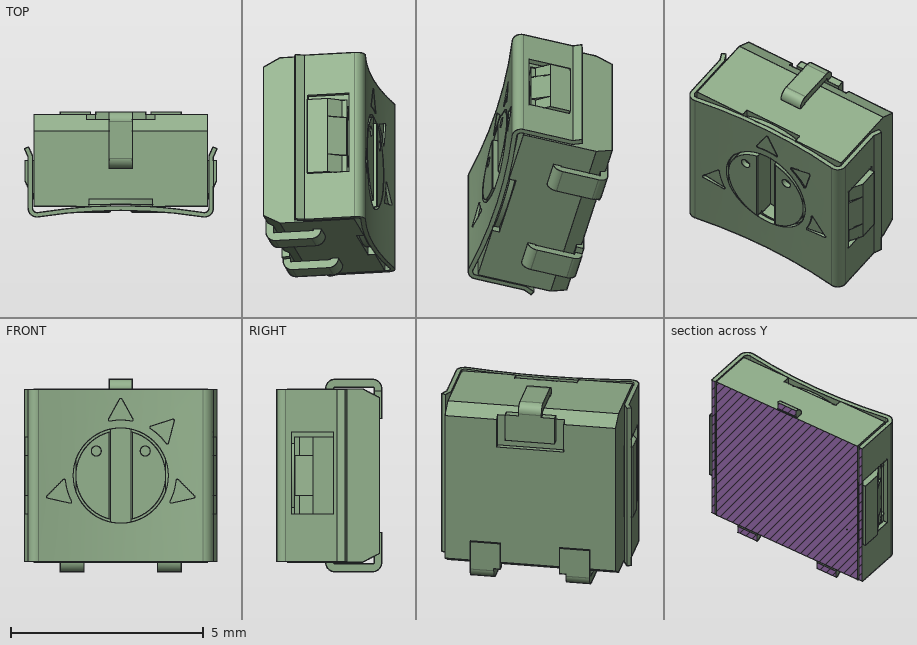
import cadquery as cq
import math


overall = 5.0

body_half = 2.25
body_back = 1.305
body_front = -1.085
chamfer_height = 0.23
chamfer_depth = 0.435

cover_half_height = 2.235
sheet = 0.12
cover_half_width = 2.405
cover_center_y = -1.19
cover_front_radius = 13.55
corner_radius = 0.235
lip_y = 0.2
wing_angle = 24.0
wing_reach = overall / 2

window_back = 0.11
window_front = -0.975
window_top = 1.135
catch_half_height = 0.995
catch_mid_half = 0.515
catch_face = 2.485
catch_ramp_start = -0.425
catch_end_ramp_stop = -0.765
catch_mid_ramp_stop = -0.89
catch_foot_x = 2.275
catch_foot_stop = -0.895

rotor_radius = 1.165
rotor_front = -1.24
opening_radius = 1.235
flange_radius = 2.19
flange_back = -0.895
flange_front = -1.03
notch_half = 0.825
slot_width = 0.52
slot_depth = 0.6
slot_chamfer_width = 0.04
slot_chamfer_depth = 0.025
pin_offset = 0.635
pin_radius = 0.13
pin_depth = 0.15

arrow_apex = 2.04
arrow_base_radius = 1.44
arrow_half_angle = 14.3
arrow_corner = 0.035
arrow_angles = (90.0, 46.5, -16.3, 196.3)
arrow_prism_depth = 0.5
arrow_floor_y = -1.18
arrow_floor_radius = 35.0

lead_back = 1.365
lead_front = -0.095
lead_thick = 0.215
leg_thick = 0.2
lead_bend = 0.25
lead_bend_inner = 0.02
top_lead_width = 0.605
bottom_lead_inner = 0.95
pad_outer = 1.575
bottom_pad_inner = 0.78
pad_low = 1.475
pad_high = 2.195
top_pad_half = 0.65
pad_recess_margin = 0.235

lead_top = overall / 2
pad_front = lead_back - leg_thick


def box(x0, x1, y0, y1, z0, z1):
    """Box between two corners."""
    return cq.Workplane("XY").box(x1 - x0, y1 - y0, z1 - z0, centered=False).translate((x0, y0, z0))


def y_cylinder(radius, front, back, x=0.0, z=0.0):
    """Cylinder along Y between two depths."""
    return cq.Workplane("XZ", origin=(x, back, z)).circle(radius).extrude(back - front)


def both_sides(solid):
    """The solid together with its mirror image in X."""
    return solid.union(solid.mirror("YZ"))


def concave_block(half_width, center_y, radius, back, half_height):
    """Upright block whose front face is a shallow arc, deepest at x = 0."""
    edge_y = center_y - (radius - math.sqrt(radius**2 - half_width**2))
    return (
        cq.Workplane("XY", origin=(0, 0, -half_height))
        .moveTo(-half_width, back)
        .lineTo(-half_width, edge_y)
        .threePointArc((0, center_y), (half_width, edge_y))
        .lineTo(half_width, back)
        .close()
        .extrude(2 * half_height)
    )


def make_body():
    """Block with sloped back edges, side notches, a round seat in front and a pad recess."""
    body = box(-body_half, body_half, body_front, body_back, -body_half, body_half)
    body = body.faces(">Y").edges("|X").chamfer(chamfer_height, chamfer_depth)

    notch_floor = math.sqrt(flange_radius**2 - notch_half**2)
    notch = box(-notch_half, notch_half, body_front, flange_back, notch_floor, body_half)
    for turn in range(4):
        body = body.cut(notch.rotate((0, 0, 0), (0, 1, 0), 90 * turn))

    body = body.cut(y_cylinder(flange_radius, body_front, flange_back))

    recess_half = top_pad_half + pad_recess_margin
    return body.cut(
        box(-recess_half, recess_half, pad_front, body_back, pad_low - pad_recess_margin, body_half)
    )


def catch_section(ramp_stop_y, half_height):
    """Left-hand catch: a flat face, a ramp down to the foot, and the foot below it."""
    root = body_half - sheet
    return (
        cq.Workplane("XY", origin=(0, 0, -half_height))
        .polyline([
            (-root, window_back),
            (-catch_face, window_back),
            (-catch_face, catch_ramp_start),
            (-catch_foot_x, ramp_stop_y),
            (-catch_foot_x, catch_foot_stop),
            (-root, catch_foot_stop),
        ])
        .close()
        .extrude(2 * half_height)
    )


def make_catches():
    """Catches on both sides; the ramp is longer over the middle of each."""
    ends = catch_section(catch_end_ramp_stop, catch_half_height)
    middle = catch_section(catch_mid_ramp_stop, catch_mid_half)
    return both_sides(ends.union(middle))


def make_wing():
    """Left-hand lip of the cover, bent away from the body."""
    angle = math.radians(wing_angle)
    inner_x = cover_half_width - sheet
    length = (wing_reach - cover_half_width) / math.sin(angle)
    tip_x = wing_reach
    tip_y = lip_y + length * math.cos(angle)
    return (
        cq.Workplane("XY", origin=(0, 0, -cover_half_height))
        .polyline([
            (-inner_x, lip_y),
            (-cover_half_width, lip_y),
            (-tip_x, tip_y),
            (-tip_x + sheet * math.cos(angle), tip_y + sheet * math.sin(angle)),
            (-inner_x, lip_y + sheet * math.tan(angle / 2)),
        ])
        .close()
        .extrude(2 * cover_half_height)
    )


def make_arrow(angle):
    """Prism of one arrow mark, pointing away from the rotor axis."""
    half = math.radians(arrow_half_angle)
    corner_x = arrow_base_radius * math.cos(half)
    corner_z = arrow_base_radius * math.sin(half)
    return (
        cq.Workplane("XZ", origin=(0, cover_center_y + sheet, 0))
        .moveTo(arrow_apex, 0)
        .lineTo(corner_x, corner_z)
        .threePointArc((arrow_base_radius, 0), (corner_x, -corner_z))
        .close()
        .extrude(arrow_prism_depth)
        .edges("|Y")
        .fillet(arrow_corner)
        .rotate((0, 0, 0), (0, 1, 0), -angle)
    )


def make_cover():
    """Bent sheet with lips, catch windows, rotor opening and arrow marks."""
    inner_half_width = cover_half_width - sheet
    inner_center_y = cover_center_y + sheet
    outer = concave_block(cover_half_width, cover_center_y, cover_front_radius, lip_y, cover_half_height)
    inner = concave_block(inner_half_width, inner_center_y, cover_front_radius, lip_y, cover_half_height)
    outer = outer.edges("|Z and <Y").fillet(corner_radius)
    inner = inner.edges("|Z and <Y").fillet(corner_radius - sheet)
    cover = outer.cut(inner).union(both_sides(make_wing()))

    cover = cover.cut(
        box(-overall / 2, overall / 2, window_front, window_back, -catch_half_height, window_top)
    )
    cover = cover.cut(y_cylinder(opening_radius, rotor_front, 0))

    floor = concave_block(cover_half_width, arrow_floor_y, arrow_floor_radius, lip_y, cover_half_height)
    for angle in arrow_angles:
        cover = cover.cut(make_arrow(angle).cut(floor))
    return cover


def make_rotor():
    """Round head standing on a wide flange."""
    flange = y_cylinder(flange_radius, flange_front, flange_back)
    return flange.union(y_cylinder(rotor_radius, rotor_front, flange_back))


def make_rotor_cuts():
    """Screwdriver slot with chamfered mouth, and the two pin holes."""
    half = slot_width / 2
    mouth = half + slot_chamfer_width
    slot = (
        cq.Workplane("XY", origin=(0, 0, -opening_radius))
        .polyline([
            (-mouth, rotor_front),
            (-half, rotor_front + slot_chamfer_depth),
            (-half, rotor_front + slot_depth),
            (half, rotor_front + slot_depth),
            (half, rotor_front + slot_chamfer_depth),
            (mouth, rotor_front),
        ])
        .close()
        .extrude(2 * opening_radius)
    )
    cuts = slot.intersect(y_cylinder(opening_radius, rotor_front, rotor_front + slot_depth))
    for x in (-pin_offset, pin_offset):
        cuts = cuts.union(y_cylinder(pin_radius, rotor_front, rotor_front + pin_depth, x, pin_offset))
    return cuts


def make_lead(x0, x1, pad_x0, pad_x1):
    """Lead wrapped over the top edge of the body, with a wider pad on the back."""
    strip = box(x0, x1, lead_front, lead_back, pad_low, lead_top).edges("|X and >Z").fillet(lead_bend)
    hollow = box(x0, x1, lead_front + lead_thick, pad_front, pad_low, lead_top - lead_thick)
    hollow = hollow.edges("|X and >Z").fillet(lead_bend_inner)
    pad = box(pad_x0, pad_x1, pad_front, lead_back, pad_low, pad_high)
    return strip.cut(hollow).union(pad)


def make_leads():
    """One lead at the middle of the top, two at the bottom."""
    half = top_lead_width / 2
    top = make_lead(-half, half, -top_pad_half, top_pad_half)
    bottom = make_lead(bottom_lead_inner, pad_outer, bottom_pad_inner, pad_outer).mirror("XY")
    return top.union(both_sides(bottom))


result = make_body()
result = result.union(make_catches())
result = result.union(make_rotor())
result = result.union(make_leads())
result = result.cut(make_rotor_cuts())
result = result.union(make_cover())